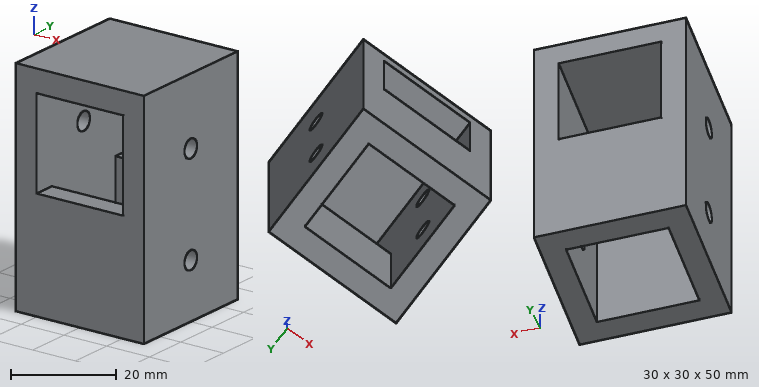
import cadquery as cq

width = 30.0
depth = 30.0
height = 50.0

window_size = 20.2
window_center_z = 34.9

cavity_top_z = window_center_z + window_size / 2

hole_diameter = 4.0
lower_hole_z = 12.4
upper_hole_z = window_center_z


def make_block():
    return cq.Workplane("XY").box(width, depth, height, centered=(True, True, False))


def make_window():
    window = cq.Workplane("XY").box(window_size, depth, window_size)
    return window.translate((0, 0, window_center_z))


def make_cavity():
    return cq.Workplane("XY").rect(window_size, window_size).extrude(cavity_top_z)


def make_cross_hole(center_z):
    hole = cq.Workplane("YZ").circle(hole_diameter / 2).extrude(width / 2, both=True)
    return hole.translate((0, 0, center_z))


result = make_block().cut(make_window()).cut(make_cavity())
for hole_z in (lower_hole_z, upper_hole_z):
    result = result.cut(make_cross_hole(hole_z))